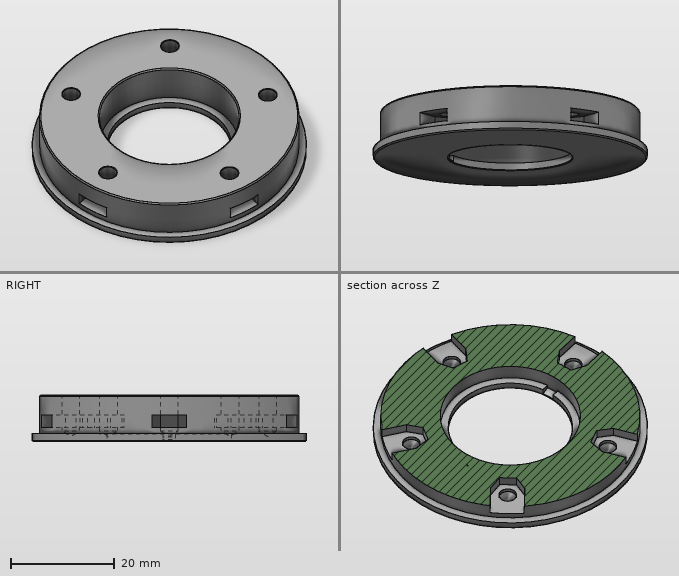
import cadquery as cq
import math

flange_diameter = 53.0
body_diameter = 50.2
total_height = 9.0
flange_height = 1.6
rim_chamfer = 0.25

bore_diameter = 24.0
seat_diameter = 27.0
ledge_height = 1.5
bore_chamfer = 0.15

screw_count = 5
screw_circle_radius = 20.0
screw_diameter = 3.4
screw_chamfer = 0.1
screw_tip_angle = 118.0
screw_wall_bottom = 2.0

nut_corner_width = 6.55
nut_pocket_bottom = 2.7
nut_pocket_height = 2.45

notch_width = 2.45
notch_inner_floor = 0.35
notch_outer_floor = 0.85


def make_ring():
    """Flanged cylinder with a stepped bore and chamfered rims."""
    flange = cq.Workplane("XY").circle(flange_diameter / 2).extrude(flange_height)
    body = cq.Workplane("XY").circle(body_diameter / 2).extrude(total_height)
    bore = cq.Workplane("XY").circle(bore_diameter / 2).extrude(total_height)
    seat = (
        cq.Workplane("XY")
        .workplane(offset=ledge_height)
        .circle(seat_diameter / 2)
        .extrude(total_height - ledge_height)
    )
    stepped = flange.union(body).cut(bore).cut(seat)
    largest_circle = cq.selectors.RadiusNthSelector(-1)
    smallest_circle = cq.selectors.RadiusNthSelector(0)
    chamfered = stepped.faces(">Z").edges().chamfer(rim_chamfer)
    chamfered = chamfered.faces("<Z").edges(largest_circle).chamfer(rim_chamfer)
    return chamfered.faces("<Z").edges(smallest_circle).chamfer(bore_chamfer)


def make_screw_hole():
    """Blind drilled hole with a conical tip and a small mouth chamfer, on the +X axis."""
    radius = screw_diameter / 2
    tip_depth = radius / math.tan(math.radians(screw_tip_angle / 2))
    profile = (
        cq.Workplane("XZ")
        .moveTo(0, screw_wall_bottom - tip_depth)
        .lineTo(radius, screw_wall_bottom)
        .lineTo(radius, total_height - screw_chamfer)
        .lineTo(radius + screw_chamfer, total_height)
        .lineTo(0, total_height)
        .close()
    )
    hole = profile.revolve(360, (0, 0, 0), (0, 1, 0))
    return hole.translate((screw_circle_radius, 0, 0))


def make_nut_pocket():
    """Hexagonal nut seat with a straight slot out through the +X side wall."""
    plane = cq.Workplane("XY").workplane(offset=nut_pocket_bottom)
    nut = (
        plane.center(screw_circle_radius, 0)
        .transformed(rotate=(0, 0, 90))
        .polygon(6, nut_corner_width)
        .extrude(nut_pocket_height)
    )
    slot_length = flange_diameter / 2 - screw_circle_radius
    slot = (
        plane.center(screw_circle_radius + slot_length / 2, 0)
        .rect(slot_length, nut_corner_width)
        .extrude(nut_pocket_height)
    )
    return nut.union(slot)


def make_notch():
    """Parallel-sided notch across the ledge on the +X side, floored by a cone about Z."""
    bore_radius = bore_diameter / 2
    seat_radius = seat_diameter / 2
    ring = (
        cq.Workplane("XZ")
        .moveTo(bore_radius, notch_inner_floor)
        .lineTo(seat_radius, notch_outer_floor)
        .lineTo(seat_radius, ledge_height)
        .lineTo(bore_radius, ledge_height)
        .close()
        .revolve(360, (0, 0, 0), (0, 1, 0))
    )
    sides = cq.Workplane("XY").box(
        seat_radius, notch_width, ledge_height, centered=(False, True, False)
    )
    return ring.intersect(sides)


result = make_ring().cut(make_notch())
screw_cutter = make_screw_hole().union(make_nut_pocket())
for index in range(screw_count):
    angle = index * 360 / screw_count
    result = result.cut(screw_cutter.rotate((0, 0, 0), (0, 0, 1), angle))